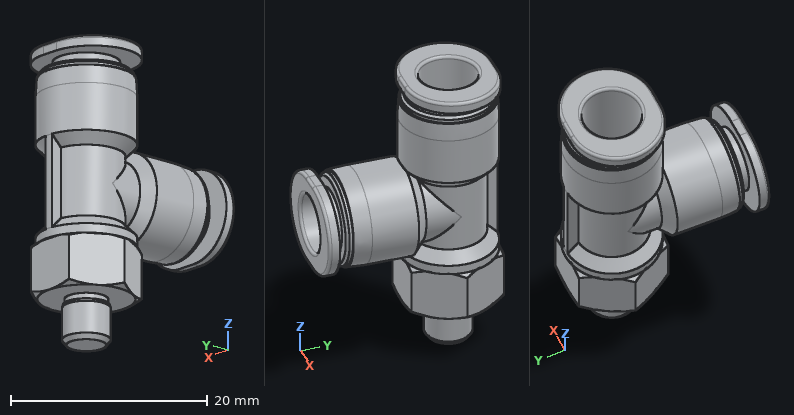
import cadquery as cq
import math


port_reach = 15.0
body_radius = 10.4 / 2
stem_radius = 4.0
cone_outer = 5.0
cone_length = body_radius - stem_radius
cone_inner = cone_outer - cone_length

flange_length = 12.0
flange_width = 10.02
flange_thickness = 1.2
edge_round = 0.3
neck_radius = 6.9 / 2

collar_depth = 2.3
shoulder_depth = 2.98
taper_depth = 4.95
collar_radius = 9.8 / 2
collar_chamfer = 0.3
shoulder_radius = 10.15 / 2

bore_diameter = 6.2
bore_depth = port_reach - cone_outer

rib_width = 1.0

hex_flats = 10.02
hex_top = -6.0
hex_height = 5.5
hex_bottom = hex_top - hex_height
hex_chamfer_angle = 30

overall_height = 31.4
spigot_bottom = port_reach - overall_height
spigot_radius = 5.0 / 2
relief_radius = 4.5 / 2
relief_length = 0.63
thread_start_radius = 4.77 / 2
thread_start_chamfer = 0.3
tip_radius = 4.08 / 2
tip_chamfer = 0.55


def revolve_profile(profile):
    """Revolve a closed (radius, height) wire about the Z axis."""
    return profile.close().revolve(360, (0, 0), (0, 1))


def solid_port():
    """Stem, cone, socket body and release sleeve along +Z, without the bore."""
    taper_length = taper_depth - shoulder_depth
    taper_inset = body_radius - shoulder_radius
    arc_radius = (taper_length**2 + taper_inset**2) / (2 * taper_inset)
    half_angle = math.asin(taper_length / arc_radius) / 2
    arc_mid_radius = body_radius - arc_radius * (1 - math.cos(half_angle))
    arc_mid_height = port_reach - taper_depth + arc_radius * math.sin(half_angle)

    profile = (
        cq.Workplane("XZ")
        .lineTo(stem_radius, 0)
        .lineTo(stem_radius, cone_inner)
        .lineTo(body_radius, cone_outer)
        .lineTo(body_radius, port_reach - taper_depth)
        .threePointArc((arc_mid_radius, arc_mid_height), (shoulder_radius, port_reach - shoulder_depth))
        .lineTo(collar_radius, port_reach - shoulder_depth)
        .lineTo(collar_radius, port_reach - collar_depth - collar_chamfer)
        .lineTo(collar_radius - collar_chamfer, port_reach - collar_depth)
        .lineTo(neck_radius, port_reach - collar_depth)
        .lineTo(neck_radius, port_reach - flange_thickness)
        .lineTo(0, port_reach - flange_thickness)
    )
    flange = (
        cq.Workplane("XY")
        .workplane(offset=port_reach - flange_thickness)
        .slot2D(flange_length, flange_width)
        .extrude(flange_thickness)
        .faces(">Z")
        .edges()
        .fillet(edge_round)
    )
    return revolve_profile(profile).union(flange)


def tube_bore():
    """Blind bore along +Z with a rounded mouth."""
    mouth_radius = bore_diameter / 2 + edge_round
    wall_radius = bore_diameter / 2
    round_offset = edge_round * (1 - math.sqrt(0.5))
    profile = (
        cq.Workplane("XZ")
        .moveTo(0, port_reach - bore_depth)
        .lineTo(wall_radius, port_reach - bore_depth)
        .lineTo(wall_radius, port_reach - edge_round)
        .threePointArc((wall_radius + round_offset, port_reach - round_offset), (mouth_radius, port_reach))
        .lineTo(0, port_reach)
    )
    return revolve_profile(profile)


def lower_body():
    """Stem, cone and collar that join the port crossing to the hexagon."""
    profile = (
        cq.Workplane("XZ")
        .lineTo(stem_radius, 0)
        .lineTo(stem_radius, -cone_inner)
        .lineTo(body_radius, -cone_outer)
        .lineTo(body_radius, hex_top)
        .lineTo(0, hex_top)
    )
    return revolve_profile(profile)


def back_rib():
    """Flat rib behind the stem, flush with the body at +Y."""
    envelope = cq.Workplane("XY").workplane(offset=-cone_outer).circle(body_radius).extrude(2 * cone_outer)
    slab = cq.Workplane("XY").box(rib_width, body_radius, 2 * cone_outer, centered=(True, False, True))
    return slab.intersect(envelope)


def hexagon():
    """Hexagon with corners on X, its corners turned to a cone at both ends."""
    corner_radius = hex_flats / math.sqrt(3)
    slope = math.tan(math.radians(hex_chamfer_angle))
    top_drop = (corner_radius - body_radius) * slope
    bottom_rise = (corner_radius - hex_flats / 2) * slope
    prism = (
        cq.Workplane("XY")
        .workplane(offset=hex_bottom)
        .polygon(6, 2 * corner_radius)
        .extrude(hex_height)
    )
    turned = (
        cq.Workplane("XZ")
        .moveTo(0, hex_bottom)
        .lineTo(hex_flats / 2, hex_bottom)
        .lineTo(corner_radius, hex_bottom + bottom_rise)
        .lineTo(corner_radius, hex_top - top_drop)
        .lineTo(body_radius, hex_top)
        .lineTo(0, hex_top)
    )
    return prism.intersect(revolve_profile(turned))


def spigot():
    """Plain threaded end with a relief groove under the hexagon."""
    thread_top = hex_bottom - relief_length
    profile = (
        cq.Workplane("XZ")
        .moveTo(0, hex_bottom)
        .lineTo(relief_radius, hex_bottom)
        .lineTo(relief_radius, thread_top)
        .lineTo(thread_start_radius, thread_top)
        .lineTo(spigot_radius, thread_top - thread_start_chamfer)
        .lineTo(spigot_radius, spigot_bottom + tip_chamfer)
        .lineTo(tip_radius, spigot_bottom)
        .lineTo(0, spigot_bottom)
    )
    return revolve_profile(profile)


def toward_front(shape):
    """Turn a port built along +Z so that it points along -Y."""
    return shape.rotate((0, 0, 0), (1, 0, 0), 90)


result = solid_port().union(toward_front(solid_port()))
for section in (lower_body(), back_rib(), hexagon(), spigot()):
    result = result.union(section)
for bore in (tube_bore(), toward_front(tube_bore())):
    result = result.cut(bore)